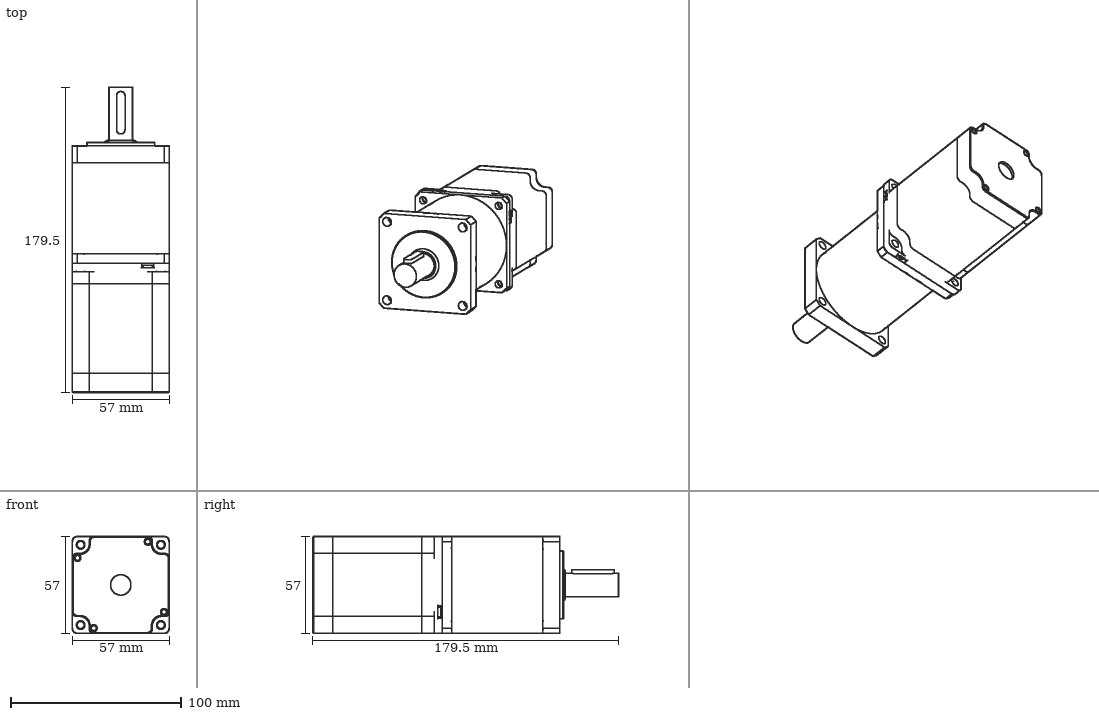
import cadquery as cq
import math


frame_size = 57.0
half_frame = frame_size / 2
corner_size = 3.0
mount_spacing = 47.14

plate_thickness = 5.5
barrel_length = 53.5
flange_thickness = 10.0
pilot_diameter = 40.0
pilot_height = 2.2
pilot_chamfer = 0.4
seal_base_diameter = 19.0
seal_tip_diameter = 16.0
seal_height = 1.1
flange_hole_diameter = 5.2
plate_hole_diameter = 4.2

barrel_end = plate_thickness + barrel_length
flange_face = barrel_end + flange_thickness
pilot_face = flange_face + pilot_height
seal_face = pilot_face + seal_height

shaft_diameter = 14.0
shaft_projection = 34.5
shaft_seat = barrel_end
shaft_tip = flange_face + shaft_projection
key_length = 25.0
key_width = 5.0
key_height = 5.0
key_top = 9.0
key_tip_gap = 2.5
key_seat = key_top - key_height
key_center = shaft_tip - key_tip_gap - key_length / 2

motor_length = 76.0
front_cover_length = 12.0
rear_cover_length = 11.5
motor_flange_thickness = 4.8
motor_hole_diameter = 5.0
relief_center = 24.0
relief_radius = 5.5
lobe_radius = 2.75
rear_chamfer = 0.5
dimple_diameter = 12.0
dimple_depth = 1.5

stator_front = -front_cover_length
stator_rear = rear_cover_length - motor_length
motor_rear = -motor_length

screw_x = 15.9
screw_z = 25.4
screw_diameter = 3.0
head_diameter = 5.5
head_height = 1.7
head_pocket_diameter = 9.4
head_pocket_depth = 2.7
tip_countersink = 0.5
head_seat = -head_pocket_depth
screw_tip = motor_rear + tip_countersink


def section_at(y):
    """Workplane across the drive axis, with local x = X, local y = Z, extruding towards -Y."""
    return cq.Workplane("XZ", origin=(0, y, 0))


def square_block(y_front, y_rear):
    return section_at(y_front).rect(frame_size, frame_size).extrude(y_front - y_rear)


def cylinder(diameter, y_front, y_rear, x=0.0, z=0.0):
    return section_at(y_front).center(x, z).circle(diameter / 2).extrude(y_front - y_rear)


def mount_holes(diameter, y_front, y_rear):
    pattern = section_at(y_front).rect(mount_spacing, mount_spacing, forConstruction=True).vertices()
    return pattern.circle(diameter / 2).extrude(y_front - y_rear)


def quarter_turns(feature):
    """The feature and its three copies about the drive axis."""
    return [feature.rotate((0, 0, 0), (0, 1, 0), 90 * turn) for turn in range(4)]


def make_gearbox():
    plate = square_block(plate_thickness, 0).edges("|Y").chamfer(corner_size)
    plate = plate.cut(mount_holes(plate_hole_diameter, plate_thickness, 0))
    barrel = cylinder(frame_size, barrel_end, plate_thickness)
    flange = square_block(flange_face, barrel_end).edges("|Y").chamfer(corner_size)
    flange = flange.cut(mount_holes(flange_hole_diameter, flange_face, barrel_end))
    pilot = cylinder(pilot_diameter, pilot_face, flange_face).faces(">Y").edges().chamfer(pilot_chamfer)
    seal = (
        section_at(pilot_face)
        .circle(seal_base_diameter / 2)
        .workplane(offset=-seal_height)
        .circle(seal_tip_diameter / 2)
        .loft()
    )
    shaft_bore = cylinder(shaft_diameter, seal_face, shaft_seat)
    return plate.union(barrel).union(flange).union(pilot).union(seal).cut(shaft_bore)


def make_key():
    return (
        cq.Workplane("XY", origin=(0, key_center, key_seat))
        .slot2D(key_length, key_width, 90)
        .extrude(key_height)
    )


def make_shaft(key):
    return cylinder(shaft_diameter, shaft_tip, shaft_seat).cut(key)


def make_motor_body(y_front, y_rear):
    """Square bar with a rounded relief along each corner."""
    wall = relief_center - relief_radius
    edge = wall - lobe_radius
    side = half_frame - lobe_radius
    lobe_mid = lobe_radius * math.sqrt(0.5)
    relief_mid = relief_center - relief_radius * math.sqrt(0.5)
    outline = section_at(y_front).moveTo(-edge, half_frame)
    corner = [
        ("line", (edge, half_frame)),
        ("arc", (edge + lobe_mid, side + lobe_mid), (wall, side)),
        ("line", (wall, relief_center)),
        ("arc", (relief_mid, relief_mid), (relief_center, wall)),
        ("line", (side, wall)),
        ("arc", (side + lobe_mid, edge + lobe_mid), (half_frame, edge)),
    ]
    for _ in range(4):
        for kind, *points in corner:
            if kind == "line":
                outline = outline.lineTo(*points[0])
            else:
                outline = outline.threePointArc(*points)
        corner = [(kind, *[(z, -x) for x, z in points]) for kind, *points in corner]
    return outline.close().extrude(y_front - y_rear)


def make_screw():
    head = cylinder(head_diameter, head_seat + head_height, head_seat, screw_x, screw_z)
    shank = cylinder(screw_diameter, head_seat, screw_tip, screw_x, screw_z)
    return head.union(shank)


def make_head_pocket():
    """Round pocket for a screw head, breaking out through the nearest side face."""
    return cylinder(head_pocket_diameter, 0, head_seat, screw_x, screw_z)


def make_tip_countersink():
    """45 degree cone that opens a screw hole at the rear face of the motor."""
    return (
        section_at(screw_tip)
        .center(screw_x, screw_z)
        .circle(screw_diameter / 2)
        .workplane(offset=tip_countersink)
        .circle(screw_diameter / 2 + tip_countersink)
        .loft()
    )


def make_front_cover(screws):
    flange = square_block(0, -motor_flange_thickness).edges("|Y").fillet(corner_size)
    flange = flange.cut(mount_holes(motor_hole_diameter, 0, -motor_flange_thickness))
    cover = flange.union(make_motor_body(-motor_flange_thickness, stator_front))
    for pocket in quarter_turns(make_head_pocket()):
        cover = cover.cut(pocket)
    for screw in screws:
        cover = cover.cut(screw)
    return cover


def make_stator(screws):
    stator = make_motor_body(stator_front, stator_rear)
    for screw in screws:
        stator = stator.cut(screw)
    return stator


def make_rear_cover(screws):
    cover = make_motor_body(stator_rear, motor_rear).faces("<Y").edges().chamfer(rear_chamfer)
    dimple = cylinder(dimple_diameter, motor_rear + dimple_depth, motor_rear)
    cover = cover.cut(dimple)
    for screw in screws:
        cover = cover.cut(screw)
    for mouth in quarter_turns(make_tip_countersink()):
        cover = cover.cut(mouth)
    return cover


gearbox = make_gearbox()
key = make_key()
shaft = make_shaft(key)
screws = quarter_turns(make_screw())
front_cover = make_front_cover(screws)
stator = make_stator(screws)
rear_cover = make_rear_cover(screws)

result = cq.Compound.makeCompound(
    [
        gearbox.val(),
        shaft.val(),
        key.val(),
        front_cover.val(),
        stator.val(),
        rear_cover.val(),
        *[screw.val() for screw in screws],
    ]
)